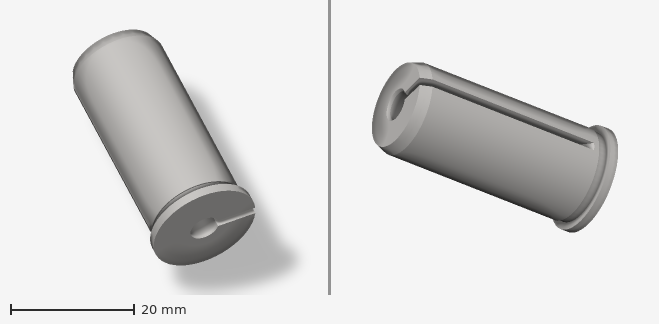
import cadquery as cq
import math

total_length = 37.0
body_diameter = 16.0
flange_diameter = 18.0
flange_thickness = 1.5
neck_diameter = 15.5
neck_length = 1.5
nose_length = 2.0
nose_angle = 20.0

bore_diameter = 5.0
bore_chamfer_length = 0.5
bore_chamfer_depth = 0.3

slot_width = 1.5
saw_diameter = 63.0
saw_centre_x = 10.5
saw_reach_past_axis = 1.5

flange_start = total_length - flange_thickness
neck_start = flange_start - neck_length
nose_radius = body_diameter / 2 - nose_length * math.tan(math.radians(nose_angle))


def make_sleeve():
    """Revolve the wall section, bore included, about the X axis."""
    bore_radius = bore_diameter / 2
    section = [
        (0, bore_radius + bore_chamfer_depth),
        (0, nose_radius),
        (nose_length, body_diameter / 2),
        (neck_start, body_diameter / 2),
        (neck_start, neck_diameter / 2),
        (flange_start, neck_diameter / 2),
        (flange_start, flange_diameter / 2),
        (total_length, flange_diameter / 2),
        (total_length, bore_radius),
        (bore_chamfer_length, bore_radius),
    ]
    return cq.Workplane("XY").polyline(section).close().revolve(360, (0, 0, 0), (1, 0, 0))


def make_saw(centre_x, side):
    """Disc that cuts from the -Y side (side = -1) or the +Y side (side = 1)."""
    centre_y = side * (saw_diameter / 2 - saw_reach_past_axis)
    return (
        cq.Workplane("XY")
        .center(centre_x, centre_y)
        .circle(saw_diameter / 2)
        .extrude(slot_width / 2, both=True)
    )


result = make_sleeve()
result = result.cut(make_saw(saw_centre_x, -1))
result = result.cut(make_saw(total_length - saw_centre_x, 1))